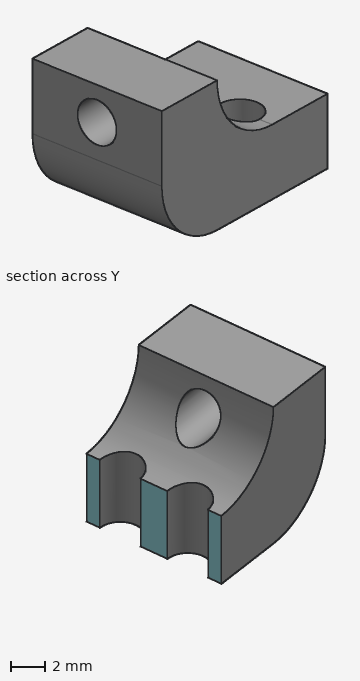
import cadquery as cq
import math

length = 15.0
thickness = length / 3
width = 2 * thickness
height = 2 * thickness
bend_radius = thickness
hole_diameter = 3.0

base_hole_spacing = width / 2
base_hole_y = length - thickness
wall_hole_z = height - thickness / 2


def bent_profile():
    """L-shaped side outline in the YZ plane, rounded inside and outside the bend."""
    arc_offset = bend_radius * math.sqrt(0.5)
    outer_centre = bend_radius
    inner_y = thickness + bend_radius
    inner_z = thickness + bend_radius
    return (
        cq.Workplane("YZ")
        .moveTo(bend_radius, 0)
        .lineTo(length, 0)
        .lineTo(length, thickness)
        .lineTo(inner_y, thickness)
        .threePointArc((inner_y - arc_offset, inner_z - arc_offset), (thickness, inner_z))
        .lineTo(0, height)
        .lineTo(0, bend_radius)
        .threePointArc((outer_centre - arc_offset, outer_centre - arc_offset), (bend_radius, 0))
        .close()
    )


def base_holes():
    """Two vertical through holes, centred where the inner bend meets the base."""
    offset = base_hole_spacing / 2
    return (
        cq.Workplane("XY")
        .pushPoints([(-offset, base_hole_y), (offset, base_hole_y)])
        .circle(hole_diameter / 2)
        .extrude(height)
    )


def wall_hole():
    """One hole through the upright wall, along Y."""
    return (
        cq.Workplane("XZ")
        .center(0, wall_hole_z)
        .circle(hole_diameter / 2)
        .extrude(-length)
    )


body = bent_profile().extrude(width / 2, both=True)
result = body.cut(base_holes()).cut(wall_hole())